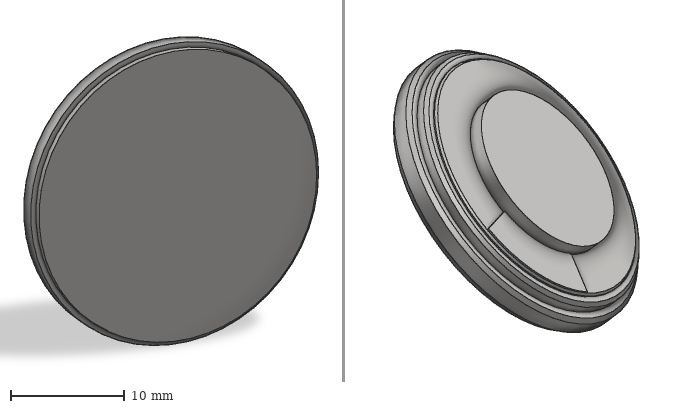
import cadquery as cq
import math

total_depth = 5.5

button_diameter = 16.0
plate_diameter = 24.25
shoulder_diameter = 26.0
flange_diameter = 28.0
back_diameter = 27.0

plate_thickness = 0.35
shoulder_thickness = 1.18
flange_thickness = 1.88
back_thickness = 0.67

plate_chamfer = 0.2
shoulder_chamfer = 0.35
flange_chamfer = 0.4

marker_height = 0.17
marker_half_angle = math.radians(30)

back_front = total_depth - back_thickness
flange_front = back_front - flange_thickness
shoulder_front = flange_front - shoulder_thickness
plate_front = shoulder_front - plate_thickness


def disc(front, thickness, diameter):
    """Plain disc on the X axis, reaching from its front face toward +X."""
    return cq.Workplane("YZ", origin=(front, 0, 0)).circle(diameter / 2).extrude(thickness)


def chamfered_disc(front, thickness, diameter, chamfer):
    """Disc with a chamfer around its front edge."""
    return disc(front, thickness, diameter).faces("<X").edges().chamfer(chamfer)


def make_marker():
    """Raised ring sector centred on -Z in front of the plate."""
    inner_radius = button_diameter / 2
    outer_radius = plate_diameter / 2 - plate_chamfer
    side = math.sin(marker_half_angle)
    down = -math.cos(marker_half_angle)
    return (
        cq.Workplane("YZ", origin=(plate_front - marker_height, 0, 0))
        .moveTo(-inner_radius * side, inner_radius * down)
        .lineTo(-outer_radius * side, outer_radius * down)
        .threePointArc((0, -outer_radius), (outer_radius * side, outer_radius * down))
        .lineTo(inner_radius * side, inner_radius * down)
        .threePointArc((0, -inner_radius), (-inner_radius * side, inner_radius * down))
        .close()
        .extrude(marker_height)
    )


def make_housing():
    """Stepped round housing with the raised marker on its front plate."""
    plate = chamfered_disc(plate_front, plate_thickness, plate_diameter, plate_chamfer)
    shoulder = chamfered_disc(shoulder_front, shoulder_thickness, shoulder_diameter, shoulder_chamfer)
    flange = chamfered_disc(flange_front, flange_thickness, flange_diameter, flange_chamfer)
    back = disc(back_front, back_thickness, back_diameter)
    return back.union(flange).union(shoulder).union(plate).union(make_marker()).solids()


def make_button():
    """Round button resting on the front plate, against the inner arc of the marker."""
    return disc(0, plate_front, button_diameter)


housing = make_housing()
button = make_button()

result = cq.Compound.makeCompound([housing.val(), button.val()])